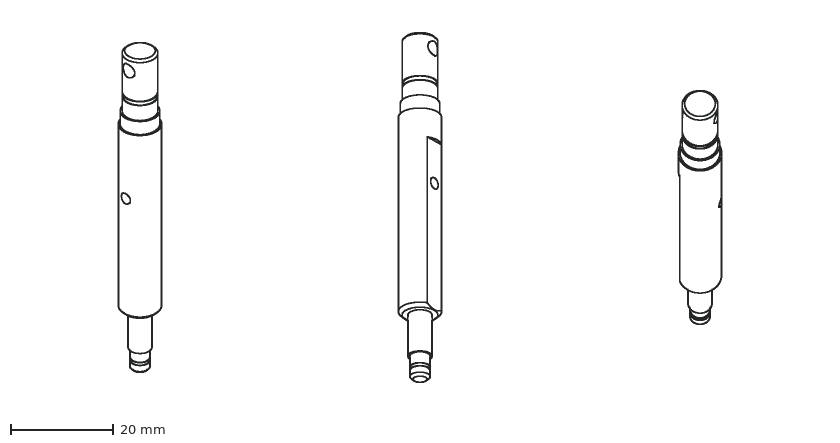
import cadquery as cq

length = 74.0
stem_base = 5.0
body_base = 14.0
body_top = 57.0
collar_top = 60.0

tip_diameter = 4.0
stem_diameter = 4.7
body_diameter = 8.5
collar_diameter = 7.8
head_diameter = 7.0

tip_chamfer = 0.6
body_chamfer = 0.75
head_chamfer = 0.5

tip_groove_base = 2.0
tip_groove_width = 0.7
tip_groove_diameter = 3.8
head_groove_base = 63.5
head_groove_width = 0.9
head_groove_diameter = 6.7

head_hole_diameter = 3.0
head_hole_height = 71.0
body_hole_diameter = 2.4
body_hole_height = 41.6

flat_depth = 0.7
flat_top = 50.85


def cylinder(diameter, base, top):
    return cq.Workplane("XY").workplane(offset=base).circle(diameter / 2).extrude(top - base)


def ring_groove(outer_diameter, floor_diameter, base, width):
    return cylinder(outer_diameter, base, base + width).cut(cylinder(floor_diameter, base, base + width))


def cross_hole(diameter, height):
    return (
        cq.Workplane("XZ")
        .center(0, height)
        .circle(diameter / 2)
        .extrude(body_diameter, both=True)
    )


body = cylinder(body_diameter, body_base, body_top).faces("<Z").chamfer(body_chamfer)
flat_cutter = cq.Workplane("XY").box(
    body_diameter, flat_depth, flat_top - body_base, centered=(True, False, False)
).translate((0, body_diameter / 2 - flat_depth, body_base))
body = body.cut(flat_cutter)

tip = cylinder(tip_diameter, 0, stem_base).faces("<Z").chamfer(tip_chamfer)
stem = cylinder(stem_diameter, stem_base, body_base)
collar = cylinder(collar_diameter, body_top, collar_top)
head = cylinder(head_diameter, collar_top, length).faces(">Z").chamfer(head_chamfer)
result = tip.union(stem).union(body).union(collar).union(head)

result = result.cut(ring_groove(tip_diameter, tip_groove_diameter, tip_groove_base, tip_groove_width))
result = result.cut(ring_groove(head_diameter, head_groove_diameter, head_groove_base, head_groove_width))
result = result.cut(cross_hole(head_hole_diameter, head_hole_height))
result = result.cut(cross_hole(body_hole_diameter, body_hole_height))